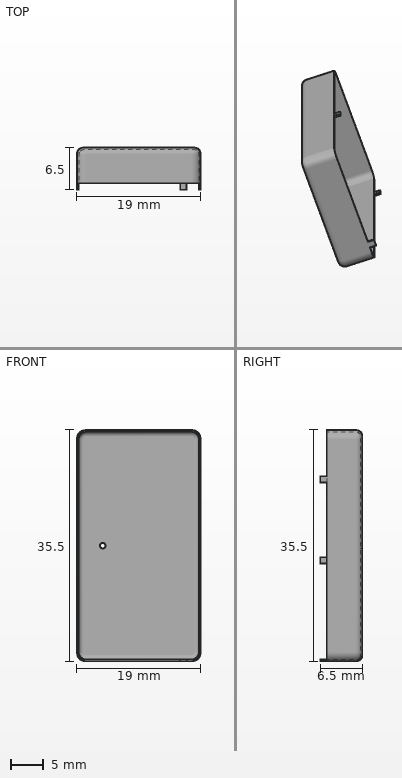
import cadquery as cq

width = 19.0
height = 35.5
total_depth = 6.5
tab_size = 1.0
case_depth = total_depth - tab_size

wall = 0.3
corner_radius = 1.4
back_radius = 1.0

hole_diameter = 0.8
hole_x = -5.55

left_tab_z = -2.27
right_tab_z = 10.15
bottom_tab_x = 6.85

front_y = -total_depth / 2
rim_y = front_y + tab_size
back_y = total_depth / 2


def rounded_block(inset):
    """Block from the rim to the back, offset inward from the outside of the case."""
    depth = case_depth - inset
    return (
        cq.Workplane("XY")
        .box(width - 2 * inset, depth, height - 2 * inset)
        .translate((0, rim_y + depth / 2, 0))
        .edges("|Y")
        .fillet(corner_radius - inset)
        .faces(">Y")
        .edges()
        .fillet(back_radius - inset)
    )


def make_tab(size_x, size_z, x, z):
    """Tab on the rim, sunk one wall thickness into the case wall."""
    length = tab_size + wall
    return cq.Workplane("XY").box(size_x, length, size_z).translate((x, front_y + length / 2, z))


def make_hole():
    """Cylinder through the back wall, along Y."""
    return (
        cq.Workplane("XZ", origin=(hole_x, back_y + wall, 0))
        .circle(hole_diameter / 2)
        .extrude(3 * wall)
    )


side_x = (width - wall) / 2
bottom_z = -(height - wall) / 2

result = rounded_block(0).cut(rounded_block(wall)).cut(make_hole())
result = result.union(make_tab(wall, tab_size, -side_x, left_tab_z))
result = result.union(make_tab(wall, tab_size, side_x, right_tab_z))
result = result.union(make_tab(tab_size, wall, bottom_tab_x, bottom_z))